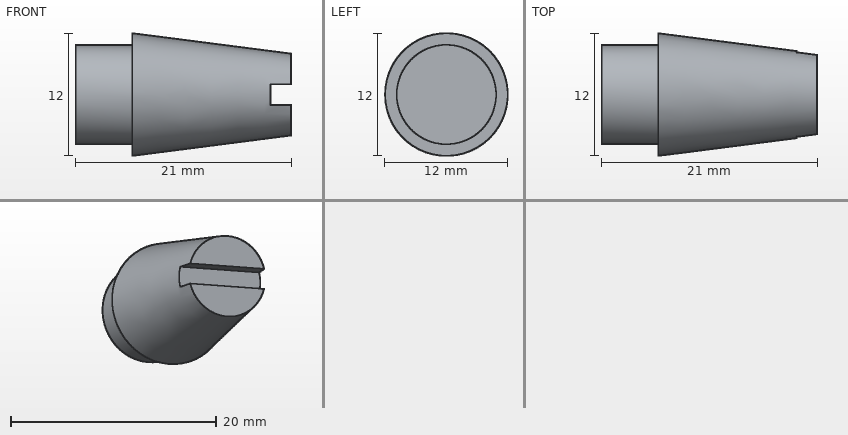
import cadquery as cq

total_length = 21.0
spigot_length = 5.5
spigot_diameter = 9.7
shoulder_diameter = 12.0
tip_diameter = 8.0
slot_width = 2.0
slot_depth = 2.0


def make_spigot():
    """Plain cylinder at the low-X end."""
    return cq.Workplane("YZ").circle(spigot_diameter / 2).extrude(spigot_length)


def make_tapered_body():
    """Solid cone narrowing from the shoulder to the tip."""
    return (
        cq.Workplane("YZ", origin=(spigot_length, 0, 0))
        .circle(shoulder_diameter / 2)
        .workplane(offset=total_length - spigot_length)
        .circle(tip_diameter / 2)
        .loft(ruled=True)
    )


def make_tip_slot():
    """Cutter for the slot that crosses the whole tip along Y."""
    return cq.Workplane("XY").box(
        slot_depth, shoulder_diameter, slot_width
    ).translate((total_length - slot_depth / 2, 0, 0))


result = make_spigot().union(make_tapered_body()).cut(make_tip_slot())